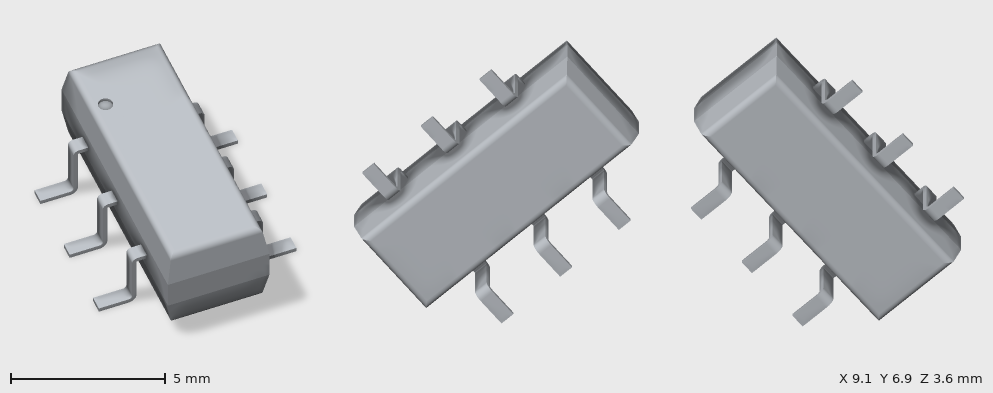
import cadquery as cq
import math

BODY_LENGTH = 9.1
BODY_WIDTH = 3.55
BODY_TOP = 3.6
BODY_BOTTOM = 0.34
BELT_HEIGHT = 1.02
DRAFT_ANGLE = 10.0
EDGE_RADIUS = 0.23

DIMPLE_DIAMETER = 0.5
DIMPLE_DEPTH = 0.12
DIMPLE_Y = -1.07

LEAD_PITCH = 2.5
LEADS_PER_SIDE = 3
LEAD_WIDTH = 0.5
LEAD_THICKNESS = 0.155
LEAD_SPAN = 6.9
LEAD_TOP = 2.05
LEG_SPAN = 4.58
SHOULDER_INNER_RADIUS = 0.03
FOOT_INNER_RADIUS = 0.12

FIRST_LEAD_X = -LEAD_PITCH * (LEADS_PER_SIDE - 1) / 2


def make_body():
    """Block with a straight belt, drafted above and below, and rounded top and bottom rims."""
    middle_z = (BODY_TOP + BODY_BOTTOM) / 2
    taper_height = (BODY_TOP - BODY_BOTTOM - BELT_HEIGHT) / 2

    body = cq.Workplane("XY", origin=(0, 0, middle_z)).box(BODY_LENGTH, BODY_WIDTH, BELT_HEIGHT)
    for face in (">Z", "<Z"):
        body = (
            body.faces(face)
            .workplane()
            .rect(BODY_LENGTH, BODY_WIDTH)
            .extrude(taper_height, taper=DRAFT_ANGLE)
        )
    body = body.faces(">Z or <Z").edges().fillet(EDGE_RADIUS)

    dimple = (
        cq.Workplane("XY", origin=(FIRST_LEAD_X, DIMPLE_Y, BODY_TOP - DIMPLE_DEPTH))
        .circle(DIMPLE_DIAMETER / 2)
        .extrude(DIMPLE_DEPTH)
    )
    return body.cut(dimple)


def bend_point(center_y, center_z, radius, angle):
    """Point at the given angle, in degrees, on a bend arc in the YZ plane."""
    turn = math.radians(angle)
    return (center_y + radius * math.cos(turn), center_z + radius * math.sin(turn))


def make_lead(x, side):
    """Bent strip from the body wall out, down and out to its foot; side is +1 for +Y, -1 for -Y."""
    root_y = BODY_WIDTH / 2
    tip_y = LEAD_SPAN / 2
    leg_outer_y = LEG_SPAN / 2
    leg_inner_y = leg_outer_y - LEAD_THICKNESS

    shoulder_radius = SHOULDER_INNER_RADIUS + LEAD_THICKNESS
    shoulder_y = leg_outer_y - shoulder_radius
    shoulder_z = LEAD_TOP - shoulder_radius

    foot_radius = FOOT_INNER_RADIUS + LEAD_THICKNESS
    foot_y = leg_inner_y + foot_radius
    foot_z = foot_radius

    lead = (
        cq.Workplane("YZ", origin=(x - LEAD_WIDTH / 2, 0, 0))
        .moveTo(root_y, LEAD_TOP)
        .lineTo(shoulder_y, LEAD_TOP)
        .threePointArc(bend_point(shoulder_y, shoulder_z, shoulder_radius, 45), (leg_outer_y, shoulder_z))
        .lineTo(leg_outer_y, foot_z)
        .threePointArc(bend_point(foot_y, foot_z, FOOT_INNER_RADIUS, 225), (foot_y, LEAD_THICKNESS))
        .lineTo(tip_y, LEAD_THICKNESS)
        .lineTo(tip_y, 0)
        .lineTo(foot_y, 0)
        .threePointArc(bend_point(foot_y, foot_z, foot_radius, 225), (leg_inner_y, foot_z))
        .lineTo(leg_inner_y, shoulder_z)
        .threePointArc(
            bend_point(shoulder_y, shoulder_z, SHOULDER_INNER_RADIUS, 45),
            (shoulder_y, LEAD_TOP - LEAD_THICKNESS),
        )
        .lineTo(root_y, LEAD_TOP - LEAD_THICKNESS)
        .close()
        .extrude(LEAD_WIDTH)
    )
    if side < 0:
        lead = lead.mirror("XZ")
    return lead


body = make_body()
leads = [
    make_lead(FIRST_LEAD_X + index * LEAD_PITCH, side)
    for side in (-1, 1)
    for index in range(LEADS_PER_SIDE)
]

result = cq.Compound.makeCompound([body.val(), *[lead.val() for lead in leads]])